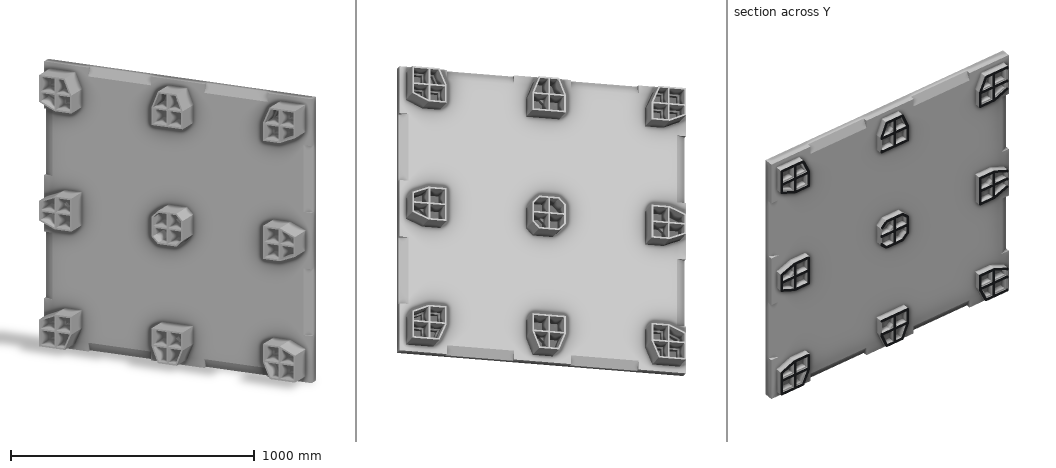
import cadquery as cq

plate_side = 1220.0
plate_thickness = 39.0
leg_height = 101.0

leg_pitch = 510.0
outer_leg_length = 146.0
middle_leg_width = 142.0
taper_start = 4.0
taper_end = 43.0

wall = 7.0
rib = 7.0

root_height = 25.0
ledge_width = 7.0
post_reach = 23.0

entry_length = 287.0
entry_offset = 265.0
entry_width = 38.0
entry_depth = 18.0


def leg_outline(column, row):
    """Corner points of the leg at a grid position; column and row are each -1, 0 or 1."""
    width = outer_leg_length if column else middle_leg_width
    height = outer_leg_length if row else middle_leg_width
    points = []
    for side_x, side_z in ((-1, -1), (1, -1), (1, 1), (-1, 1)):
        x = side_x * width / 2
        z = side_z * height / 2
        outward_x = side_x == column
        outward_z = side_z == row
        fully_outward = outward_x and outward_z
        fully_inward = (column or row) and not outward_x and not outward_z
        if fully_outward or fully_inward:
            points.append((x, z))
            continue
        end_x = taper_start if outward_x else taper_end
        end_z = taper_start if outward_z else taper_end
        on_side = (x, side_z * end_z)
        on_end = (side_x * end_x, z)
        points += [on_side, on_end] if side_x == side_z else [on_end, on_side]
    return points


def prism(points, height):
    """Prism standing on the plate underside and pointing toward -Y."""
    return cq.Workplane("XZ").polyline(points).close().extrude(height)


def diamond(reach, height):
    """Prism with its four corners on the rib centre lines."""
    return prism([(reach, 0), (0, reach), (-reach, 0), (0, -reach)], height)


def rib_cross(width, height):
    """Two crossing ribs through the middle of a leg."""
    upright = cq.Workplane("XZ").rect(width, outer_leg_length).extrude(height)
    level = cq.Workplane("XZ").rect(outer_leg_length, width).extrude(height)
    return upright.union(level)


def pockets(outline, margin, cross_width, height):
    """The four pocket volumes left inside the outer wall, between the ribs."""
    boundary = cq.Workplane("XZ").polyline(outline).close().offset2D(-margin, "intersection")
    return boundary.extrude(height).cut(rib_cross(cross_width, height))


def make_leg(column, row):
    outline = leg_outline(column, row)
    leg = prism(outline, leg_height).cut(pockets(outline, wall, rib, leg_height))

    leg = leg.union(diamond(post_reach, root_height))

    if column and row:
        opening = pockets(outline, wall + ledge_width, rib + 2 * ledge_width, root_height)
        leg = leg.union(prism(outline, root_height).cut(opening))

    return leg.translate((column * leg_pitch, 0, row * leg_pitch))


def entry_recess(offset):
    """Wedge below the +Z edge of the plate, deepest at the edge."""
    edge = plate_side / 2
    profile = [(0, edge - entry_width), (entry_depth, edge), (0, edge)]
    wedge = cq.Workplane("YZ").polyline(profile).close().extrude(entry_length / 2, both=True)
    return wedge.translate((offset, 0, 0))


result = cq.Workplane("XZ").rect(plate_side, plate_side).extrude(-plate_thickness)

for edge_angle in (0, 90, 180, 270):
    for offset in (-entry_offset, entry_offset):
        recess = entry_recess(offset).rotate((0, 0, 0), (0, 1, 0), edge_angle)
        result = result.cut(recess)

for column in (-1, 0, 1):
    for row in (-1, 0, 1):
        result = result.union(make_leg(column, row))